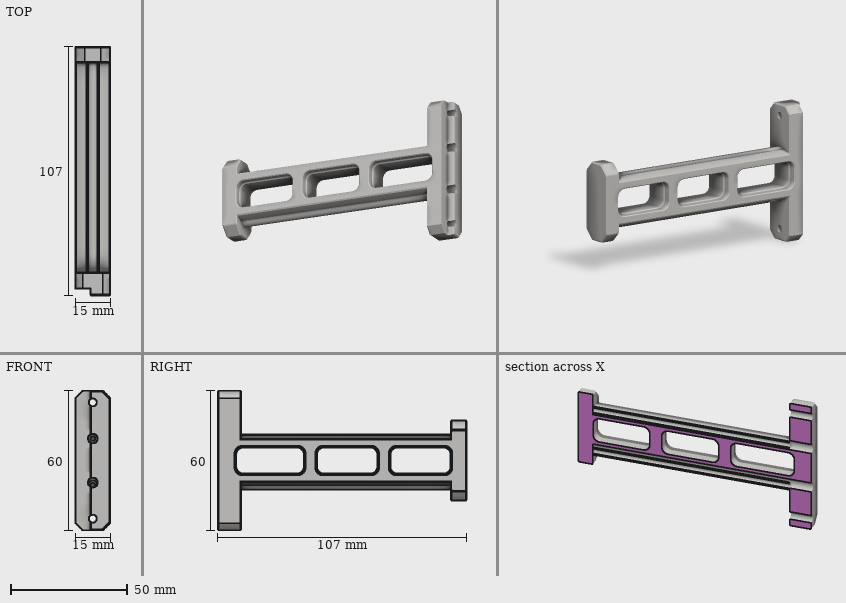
import cadquery as cq
import math

LENGTH = 107.0
WIDTH = 15.0
EDGE_CHAMFER = 0.5
SIDE_TRIM = 0.14
SIDE_CHAMFER = EDGE_CHAMFER - SIDE_TRIM
CHAMFER_ANGLE = 45

FRONT_HEIGHT = 60.0
FRONT_THICKNESS = 10.1
FRONT_CORNER = 3.3
RIB_HEIGHT = 3.0
RIB_SIDE_X = -1.1
MOUNTING_HOLE_DIAMETER = 3.3
MOUNTING_HOLE_SPACING = 50.0

BACK_HEIGHT = 34.5
BACK_THICKNESS = 7.0
BACK_CORNER = 4.2

BEAM_SIDE_HEIGHT = 17.9
BEAM_CROWN_EDGE_Z = 9.5
BEAM_CROWN_PEAK_Z = 10.8

GROOVE_WIDTH = 4.2
GROOVE_LIP = 0.7
GROOVE_CENTER_Z = 9.4

ROD_DIAMETER = 4.0
ROD_BORE = 2.0
UPPER_ROD_Z = GROOVE_CENTER_Z
LOWER_ROD_Z = -10.6

WINDOW_HEIGHT = 12.1
WINDOW_CORNER_RADIUS = 3.3
WINDOW_RANGES = [(-46.0, -16.0), (-11.3, 15.5), (20.2, 47.0)]
WEB_WIDTH = 8.8

FRONT_Y = -LENGTH / 2
BEAM_START_Y = FRONT_Y + FRONT_THICKNESS
BEAM_END_Y = LENGTH / 2 - BACK_THICKNESS
BEAM_LENGTH = BEAM_END_Y - BEAM_START_Y


def xz_plane(y):
    """Sketch plane at the given Y whose sketches extrude toward +Y; its local x is -X."""
    return cq.Plane(origin=(0, y, 0), xDir=(-1, 0, 0), normal=(0, 1, 0))


def plate(y, height, thickness, corner):
    """Octagonal plate with chamfered rims, before its sides are faced off."""
    return (
        cq.Workplane(xz_plane(y))
        .rect(WIDTH + 2 * SIDE_TRIM, height)
        .extrude(thickness)
        .edges("|Y")
        .chamfer(corner)
    )


def chamfer_rims(body):
    """Chamfer the outlines of a plate's two end faces."""
    return body.faces("<Y or >Y").edges().chamfer(EDGE_CHAMFER)


def face_sides(body):
    """Trim a body to the finished width."""
    return body.intersect(cq.Workplane("XY").box(WIDTH, 2 * LENGTH, 2 * FRONT_HEIGHT))


def back_plate():
    """Plain plate whose corner bevels are also chamfered where they meet the sides."""
    body = plate(BEAM_END_Y, BACK_HEIGHT, BACK_THICKNESS, BACK_CORNER)
    body = body.faces("<X or >X").edges("|Y").chamfer(EDGE_CHAMFER)
    return face_sides(chamfer_rims(body))


def front_plate():
    """Mounting plate cut back beside its rib."""
    body = face_sides(chamfer_rims(plate(FRONT_Y, FRONT_HEIGHT, FRONT_THICKNESS, FRONT_CORNER)))
    recess = cq.Workplane("XY").box(WIDTH, RIB_HEIGHT, FRONT_HEIGHT, centered=(False, False, True))
    recess = recess.translate((RIB_SIDE_X - WIDTH, FRONT_Y, 0))
    body = body.cut(recess)
    rib_edge = cq.selectors.NearestToPointSelector((RIB_SIDE_X, FRONT_Y, 0))
    return body.edges("|Z").edges(rib_edge).chamfer(EDGE_CHAMFER)


def beam():
    """Crowned bar, long enough to reach past the plate chamfers."""
    side_x = WIDTH / 2
    crown_x = side_x - SIDE_CHAMFER
    side_z = BEAM_SIDE_HEIGHT / 2
    return (
        cq.Workplane(xz_plane(BEAM_START_Y - EDGE_CHAMFER))
        .moveTo(-side_x, -side_z)
        .lineTo(-side_x, side_z)
        .lineTo(-crown_x, BEAM_CROWN_EDGE_Z)
        .threePointArc((0, BEAM_CROWN_PEAK_Z), (crown_x, BEAM_CROWN_EDGE_Z))
        .lineTo(side_x, side_z)
        .lineTo(side_x, -side_z)
        .lineTo(crown_x, -BEAM_CROWN_EDGE_Z)
        .threePointArc((0, -BEAM_CROWN_PEAK_Z), (-crown_x, -BEAM_CROWN_EDGE_Z))
        .close()
        .extrude(BEAM_LENGTH + 2 * EDGE_CHAMFER)
    )


def bore(diameter, z, depth):
    """Cylinder along Y, on the centre line, running inward from the front end."""
    return cq.Workplane(xz_plane(FRONT_Y)).center(0, z).circle(diameter / 2).extrude(depth)


def groove_flank():
    """Straight-sided upper part of the top groove, flaring at 45 degrees where it opens."""
    radius = GROOVE_WIDTH / 2
    crown_half = WIDTH / 2 - SIDE_CHAMFER
    crown_rise = BEAM_CROWN_PEAK_Z - BEAM_CROWN_EDGE_Z
    crown_radius = (crown_half**2 + crown_rise**2) / (2 * crown_rise)
    lip_x = radius + GROOVE_LIP
    lip_z = BEAM_CROWN_PEAK_Z - crown_radius + math.sqrt(crown_radius**2 - lip_x**2)
    return (
        cq.Workplane(xz_plane(BEAM_START_Y))
        .moveTo(-radius, GROOVE_CENTER_Z)
        .lineTo(radius, GROOVE_CENTER_Z)
        .lineTo(radius, lip_z - GROOVE_LIP)
        .lineTo(lip_x, lip_z)
        .lineTo(lip_x, BEAM_CROWN_PEAK_Z)
        .lineTo(-lip_x, BEAM_CROWN_PEAK_Z)
        .lineTo(-lip_x, lip_z)
        .lineTo(-radius, lip_z - GROOVE_LIP)
        .close()
        .extrude(BEAM_LENGTH)
    )


def groove_cutter():
    """Top rod groove; its round bottom carries on as a bore through the front plate."""
    return bore(GROOVE_WIDTH, GROOVE_CENTER_Z, BEAM_END_Y - FRONT_Y).union(groove_flank())


def window_section(y_range, grow, start_x, depth, taper=0):
    """Rounded prism running toward -X, its outline enlarged by `grow` and narrowing at the taper."""
    start_y, end_y = y_range
    outline = (
        cq.Sketch()
        .rect(end_y - start_y + 2 * grow, WINDOW_HEIGHT + 2 * grow)
        .vertices()
        .fillet(WINDOW_CORNER_RADIUS + grow)
    )
    center = (start_x, (start_y + end_y) / 2, 0)
    inward_plane = cq.Plane(origin=center, xDir=(0, 1, 0), normal=(-1, 0, 0))
    return cq.Workplane(inward_plane).placeSketch(outline).extrude(depth, taper=taper)


def window_cutter(y_range):
    """Window opening: flared at both faces and tapered down to a narrower opening in the web."""
    side_x = WIDTH / 2
    web_x = WEB_WIDTH / 2
    mouth_x = side_x - SIDE_CHAMFER
    flare = window_section(y_range, SIDE_CHAMFER, side_x, SIDE_CHAMFER, CHAMFER_ANGLE)
    mouth = window_section(y_range, 0, mouth_x, mouth_x - web_x)
    funnel = window_section(y_range, 0, web_x, EDGE_CHAMFER, CHAMFER_ANGLE)
    throat = window_section(y_range, -EDGE_CHAMFER, web_x - EDGE_CHAMFER, web_x - EDGE_CHAMFER)
    half = flare.union(mouth).union(funnel).union(throat)
    return half.union(half.mirror("YZ"))


def make_frame():
    """One-piece bracket: two end plates joined by the grooved and windowed beam."""
    body = front_plate().union(beam())
    body = body.union(back_plate())
    groove = groove_cutter()
    body = body.cut(groove).cut(groove.mirror("XY"))
    for y_range in WINDOW_RANGES:
        body = body.cut(window_cutter(y_range))
    for hole_z in (-MOUNTING_HOLE_SPACING / 2, MOUNTING_HOLE_SPACING / 2):
        body = body.cut(bore(MOUNTING_HOLE_DIAMETER, hole_z, FRONT_THICKNESS))
    return body


def make_rod(z):
    """Tubular rod reaching from plate to plate."""
    return (
        cq.Workplane(xz_plane(BEAM_START_Y))
        .center(0, z)
        .circle(ROD_DIAMETER / 2)
        .circle(ROD_BORE / 2)
        .extrude(BEAM_LENGTH)
    )


frame = make_frame()
rods = [make_rod(z) for z in (UPPER_ROD_Z, LOWER_ROD_Z)]

result = cq.Compound.makeCompound([frame.val(), *[rod.val() for rod in rods]])